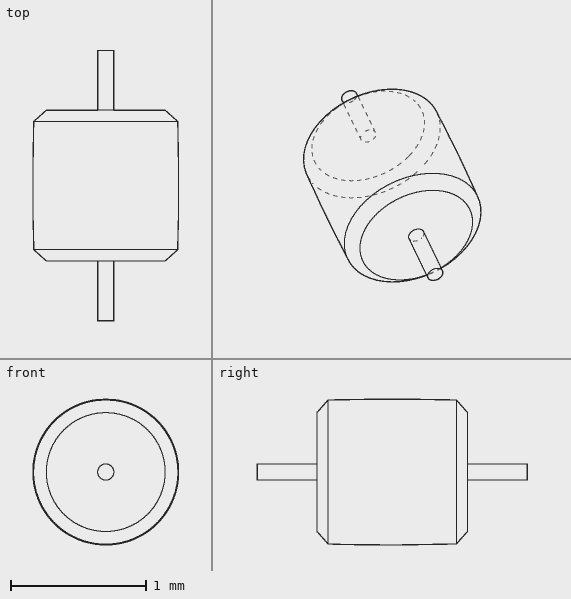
import cadquery as cq

total_length = 2.0
body_length = 1.115
lead_diameter = 0.12

middle_radius = 0.54
shoulder_radius = 0.535
end_face_radius = 0.44
chamfer_length = 0.085

half_body = body_length / 2
half_shoulder = half_body - chamfer_length


def make_body():
    """Revolve the half profile: flat ends, cones and a slightly bulged side."""
    profile = (
        cq.Workplane("ZY")
        .moveTo(0, -half_body)
        .lineTo(end_face_radius, -half_body)
        .lineTo(shoulder_radius, -half_shoulder)
        .threePointArc((middle_radius, 0), (shoulder_radius, half_shoulder))
        .lineTo(end_face_radius, half_body)
        .lineTo(0, half_body)
        .close()
    )
    return profile.revolve(360, (0, 0, 0), (0, 1, 0))


def make_leads():
    """Round wire along the axis, forming the lead at both ends."""
    return cq.Workplane("XZ").circle(lead_diameter / 2).extrude(total_length / 2, both=True)


result = make_body().union(make_leads())